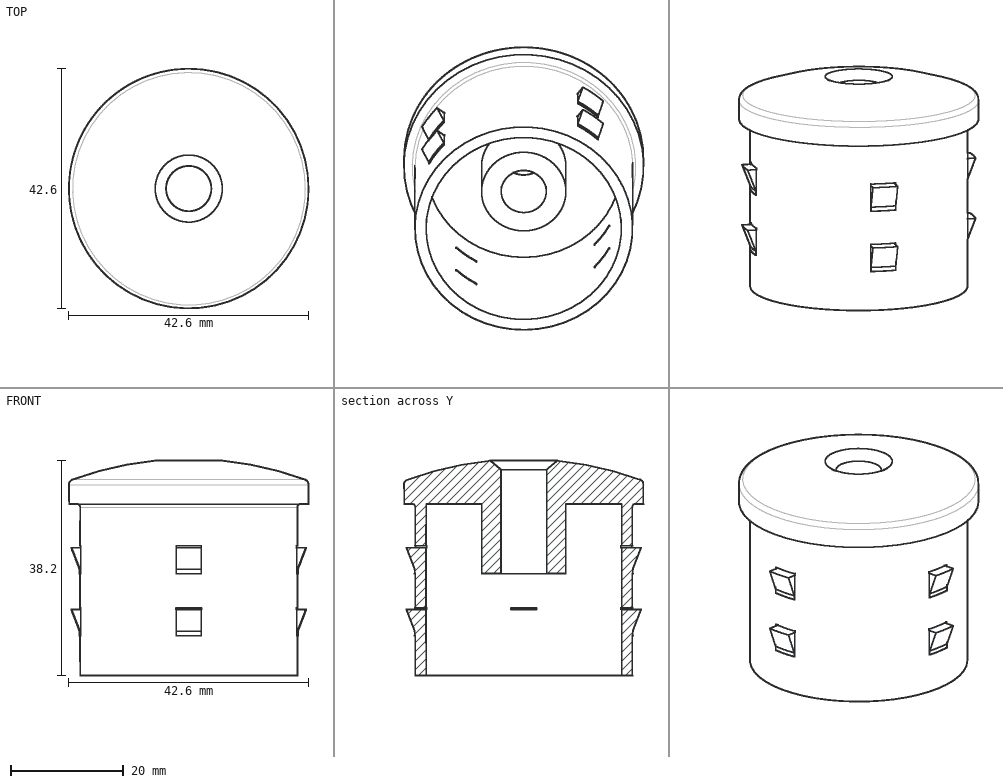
import cadquery as cq
import math

head_radius = 21.3
total_height = 38.2
head_underside = 30.45
dome_radius = 60.0
rim_fillet = 1.0

bore_radius = 4.0
countersink_radius = 5.95
countersink_depth = 1.6

body_radius = 19.35
neck_fillet = 0.5
wall = 2.0
boss_radius = 7.5
cavity_radius = body_radius - wall

barb_count = 4
barb_width = 4.5
barb_reach = 1.58
barb_pad = 0.1
barb_pad_height = 0.75
barb_slope_height = 3.88
barb_height = barb_pad_height + barb_slope_height
barb_slit = 0.3
barb_pitch = 11.0
lower_barb_foot = 7.1
barb_feet = (lower_barb_foot, lower_barb_foot + barb_pitch)

cavity_roof = head_underside
boss_end = lower_barb_foot + barb_pitch


def disc(radius, bottom, top):
    """Upright cylinder on the Z axis between two heights."""
    return cq.Workplane("XY").workplane(offset=bottom).circle(radius).extrude(top - bottom)


def head():
    """Head with a spherical top whose height is reached at the countersink rim."""
    dome_center = total_height - math.sqrt(dome_radius**2 - countersink_radius**2)
    dome_apex = dome_center + dome_radius
    dome_edge = dome_center + math.sqrt(dome_radius**2 - head_radius**2)
    middle_radius = head_radius / 2
    dome_middle = dome_center + math.sqrt(dome_radius**2 - middle_radius**2)
    blank = (
        cq.Workplane("XZ")
        .moveTo(0, head_underside)
        .lineTo(head_radius, head_underside)
        .lineTo(head_radius, dome_edge)
        .threePointArc((middle_radius, dome_middle), (0, dome_apex))
        .close()
        .revolve(360, (0, 0, 0), (0, 1, 0))
    )
    rim = cq.selectors.NearestToPointSelector((0, head_radius, dome_edge))
    return blank.edges(rim).fillet(rim_fillet)


def body():
    """Plain outer body, flared by a small fillet where it meets the head."""
    flare_start = head_underside - neck_fillet
    arc_inset = neck_fillet * (1 - math.sqrt(0.5))
    return (
        cq.Workplane("XZ")
        .lineTo(body_radius, 0)
        .lineTo(body_radius, flare_start)
        .threePointArc(
            (body_radius + arc_inset, head_underside - arc_inset),
            (body_radius + neck_fillet, head_underside),
        )
        .lineTo(0, head_underside)
        .close()
        .revolve(360, (0, 0, 0), (0, 1, 0))
    )


def screw_hole():
    """Through bore with a conical countersink."""
    countersink_bottom = total_height - countersink_depth
    dome_clearance = 0.85
    return (
        cq.Workplane("XZ")
        .lineTo(bore_radius, 0)
        .lineTo(bore_radius, countersink_bottom)
        .lineTo(countersink_radius, total_height)
        .lineTo(countersink_radius, total_height + dome_clearance)
        .lineTo(0, total_height + dome_clearance)
        .close()
        .revolve(360, (0, 0, 0), (0, 1, 0))
    )


def wall_bars(bottom, height):
    """Radial bars, one per barb position, running from the open cavity out past the body."""
    inner_end = (boss_radius + cavity_radius) / 2
    length = head_radius - inner_end
    bar = cq.Workplane("XY").box(length, barb_width, height, centered=(False, True, False))
    bar = bar.translate((inner_end, 0, bottom))
    bars = bar
    for index in range(1, barb_count):
        angle = index * 360 / barb_count
        bars = bars.union(bar.rotate((0, 0, 0), (0, 0, 1), angle))
    return bars


def barb_ring(foot):
    """Revolved barb profile: a short pad, then a slope out to a flat top."""
    pad_radius = body_radius + barb_pad
    root_radius = body_radius - wall / 2
    return (
        cq.Workplane("XZ")
        .moveTo(root_radius, foot)
        .lineTo(pad_radius, foot)
        .lineTo(pad_radius, foot + barb_pad_height)
        .lineTo(body_radius + barb_reach, foot + barb_height)
        .lineTo(root_radius, foot + barb_height)
        .close()
        .revolve(360, (0, 0, 0), (0, 1, 0))
    )


def cavity():
    """Hollow inside of the body, leaving the screw boss hanging from its roof."""
    return disc(cavity_radius, 0, cavity_roof).cut(disc(boss_radius, boss_end, cavity_roof))


shell = head().union(body()).cut(cavity())

for foot in barb_feet:
    barbs = barb_ring(foot).intersect(wall_bars(foot, barb_height))
    slits = wall_bars(foot + barb_height, barb_slit)
    shell = shell.union(barbs).cut(slits)

result = shell.cut(screw_hole())